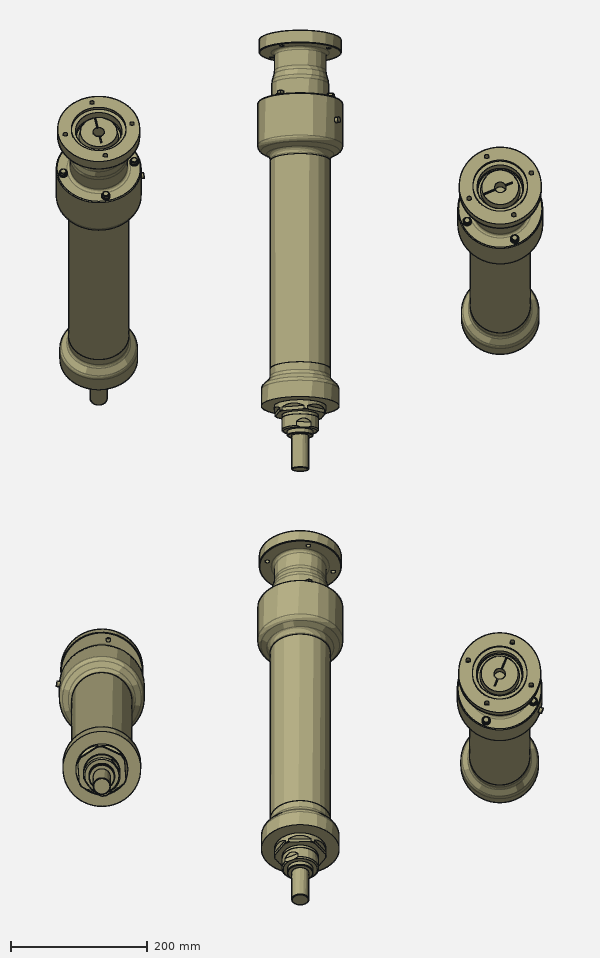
import cadquery as cq
import math

TOTAL_HEIGHT = 649.37
ROD_SHOULDER_Z = 50.8
HUB_BOTTOM_Z = 57.9
HUB_STEP_Z = 77.4
WRENCH_DISC_BOTTOM_Z = 82.1
BASE_BOTTOM_Z = 95.8
BASE_CYLINDER_TOP_Z = 120.4
TUBE_BOTTOM_Z = 151.7
TUBE_TOP_Z = 466.6
COLLAR_LIP = 2.0
COLLAR_TOP_Z = 554.5
LOWER_NECK_TOP_Z = 582.0
FLANGE_THICKNESS = 19.05
FLANGE_BOTTOM_Z = TOTAL_HEIGHT - FLANGE_THICKNESS

ROD_RADIUS = 25.4 / 2
BOSS_RADIUS = 38.1 / 2
HUB_RADIUS = 53.95 / 2
HUB_STEP = 0.4
WRENCH_DISC_RADIUS = 38.1
BASE_RADIUS = 57.15
TUBE_RADIUS = 44.2
CAP_RADIUS = 44.45
COLLAR_RADIUS = 124.92 / 2
LOWER_NECK_RADIUS = 42.0
UPPER_NECK_RADIUS = 38.1
FLANGE_RADIUS = 120.65 / 2

ROD_CHAMFER = 1.0
BOSS_CHAMFER = 1.0
HUB_CHAMFER = 2.0
DISC_CHAMFER = 1.0
COLLAR_CHAMFER = 1.5
FLANGE_CHAMFER = 1.0
NECK_FILLET = 4.5
BASE_BLEND_RADIUS = 8.4
BASE_BLEND_ANGLE = 45
COLLAR_BLEND_RADIUS = 9.5
COLLAR_BLEND_ANGLE = 60
NECK_BLEND_RADIUS = 22.0
NECK_BLEND_ANGLE = 15

DISC_FLAT_COUNT = 6
DISC_FLAT_START_ANGLE = 30
DISC_FLAT_DISTANCE = 68.5 / 2
DISC_FLAT_TOP_Z = 87.4
DISC_RUNOUT_ANGLE = 45
HUB_FLAT_COUNT = 2
HUB_FLAT_START_ANGLE = 0
HUB_FLAT_DISTANCE = 24.6
HUB_FLAT_TOP_Z = 66.0
HUB_RUNOUT_ANGLE = 65
CUT_OVERSHOOT = 1.0

FLANGE_HOLE_COUNT = 4
FLANGE_HOLE_START_ANGLE = 45
FLANGE_HOLE_DIAMETER = 6.53
FLANGE_HOLE_CIRCLE_RADIUS = 49.8
RECESS_RADIUS = 40.0
RECESS_DEPTH = 4.8
GROOVE_OUTER_RADIUS = 34.0
GROOVE_CHAMFER = 1.5
GROOVE_INNER_RADIUS = 29.0
GROOVE_DEPTH = 20.0
PLUG_RADIUS = 53.95 / 2
PLUG_DEPTH = 7.4
CENTRE_HOLE_DIAMETER = 16.5
CENTRE_HOLE_DEPTH = 20.0
SLOT_WIDTH = 1.9
SLOT_DEPTH = 1.6
SLOT_LONG_REACH = 30.0
SLOT_SHORT_REACH = 19.5
SLOT_ANGLE = 135

BOLT_COUNT = 4
BOLT_START_ANGLE = 45
BOLT_CIRCLE_RADIUS = 53.0
BOLT_WASHER_DIAMETER = 12.7
BOLT_WASHER_THICKNESS = 2.0
BOLT_HEX_ACROSS_FLATS = 9.53
BOLT_HEX_HEIGHT = 5.0
BOLT_HEX_CHAMFER = 1.6
BOLT_SHANK_DIAMETER = 6.35
BOLT_SHANK_DEPTH = 19.05

FITTING_ANGLE = 45
FITTING_Z = 520.0
FITTING_DIAMETER = 8.5
FITTING_HEIGHT = 5.0


def blend_up(profile, start, end_radius, bend_radius, angle):
    """Add two equal arcs joined by a cone, from a cylinder at `start` to one of `end_radius` above it."""
    radius, z = start
    side = math.copysign(1, end_radius - radius)
    full = math.radians(angle)
    half = full / 2
    arc_rise = bend_radius * math.sin(full)
    arc_shift = side * bend_radius * (1 - math.cos(full))
    half_rise = bend_radius * math.sin(half)
    half_shift = side * bend_radius * (1 - math.cos(half))
    cone_rise = (abs(end_radius - radius) - 2 * abs(arc_shift)) / math.tan(full)
    end_z = z + 2 * arc_rise + cone_rise
    return (
        profile.threePointArc((radius + half_shift, z + half_rise), (radius + arc_shift, z + arc_rise))
        .lineTo(end_radius - arc_shift, end_z - arc_rise)
        .threePointArc((end_radius - half_shift, end_z - half_rise), (end_radius, end_z))
    )


def turned_body():
    """Solid of revolution from the rod tip up to the flange face."""
    collar_blend_z = TUBE_TOP_Z + COLLAR_LIP
    cove = NECK_FILLET * (1 - math.sqrt(0.5))
    profile = (
        cq.Workplane("XZ")
        .lineTo(ROD_RADIUS - ROD_CHAMFER, 0)
        .lineTo(ROD_RADIUS, ROD_CHAMFER)
        .lineTo(ROD_RADIUS, ROD_SHOULDER_Z)
        .lineTo(BOSS_RADIUS - BOSS_CHAMFER, ROD_SHOULDER_Z)
        .lineTo(BOSS_RADIUS, ROD_SHOULDER_Z + BOSS_CHAMFER)
        .lineTo(BOSS_RADIUS, HUB_BOTTOM_Z)
        .lineTo(HUB_RADIUS - HUB_CHAMFER, HUB_BOTTOM_Z)
        .lineTo(HUB_RADIUS, HUB_BOTTOM_Z + HUB_CHAMFER)
        .lineTo(HUB_RADIUS, HUB_STEP_Z)
        .lineTo(HUB_RADIUS - HUB_STEP, HUB_STEP_Z)
        .lineTo(HUB_RADIUS - HUB_STEP, WRENCH_DISC_BOTTOM_Z)
        .lineTo(WRENCH_DISC_RADIUS - DISC_CHAMFER, WRENCH_DISC_BOTTOM_Z)
        .lineTo(WRENCH_DISC_RADIUS, WRENCH_DISC_BOTTOM_Z + DISC_CHAMFER)
        .lineTo(WRENCH_DISC_RADIUS, BASE_BOTTOM_Z)
        .lineTo(BASE_RADIUS, BASE_BOTTOM_Z)
        .lineTo(BASE_RADIUS, BASE_CYLINDER_TOP_Z)
    )
    profile = blend_up(
        profile, (BASE_RADIUS, BASE_CYLINDER_TOP_Z), CAP_RADIUS, BASE_BLEND_RADIUS, BASE_BLEND_ANGLE
    )
    profile = (
        profile.lineTo(CAP_RADIUS, TUBE_BOTTOM_Z)
        .lineTo(TUBE_RADIUS, TUBE_BOTTOM_Z)
        .lineTo(TUBE_RADIUS, TUBE_TOP_Z)
        .lineTo(CAP_RADIUS, TUBE_TOP_Z)
        .lineTo(CAP_RADIUS, collar_blend_z)
    )
    profile = blend_up(
        profile, (CAP_RADIUS, collar_blend_z), COLLAR_RADIUS, COLLAR_BLEND_RADIUS, COLLAR_BLEND_ANGLE
    )
    profile = (
        profile.lineTo(COLLAR_RADIUS, COLLAR_TOP_Z - COLLAR_CHAMFER)
        .lineTo(COLLAR_RADIUS - COLLAR_CHAMFER, COLLAR_TOP_Z)
        .lineTo(LOWER_NECK_RADIUS + NECK_FILLET, COLLAR_TOP_Z)
        .threePointArc(
            (LOWER_NECK_RADIUS + cove, COLLAR_TOP_Z + cove),
            (LOWER_NECK_RADIUS, COLLAR_TOP_Z + NECK_FILLET),
        )
        .lineTo(LOWER_NECK_RADIUS, LOWER_NECK_TOP_Z)
    )
    profile = blend_up(
        profile, (LOWER_NECK_RADIUS, LOWER_NECK_TOP_Z), UPPER_NECK_RADIUS, NECK_BLEND_RADIUS, NECK_BLEND_ANGLE
    )
    profile = (
        profile.lineTo(UPPER_NECK_RADIUS, FLANGE_BOTTOM_Z - NECK_FILLET)
        .threePointArc(
            (UPPER_NECK_RADIUS + cove, FLANGE_BOTTOM_Z - cove),
            (UPPER_NECK_RADIUS + NECK_FILLET, FLANGE_BOTTOM_Z),
        )
        .lineTo(FLANGE_RADIUS - FLANGE_CHAMFER, FLANGE_BOTTOM_Z)
        .lineTo(FLANGE_RADIUS, FLANGE_BOTTOM_Z + FLANGE_CHAMFER)
        .lineTo(FLANGE_RADIUS, TOTAL_HEIGHT)
        .lineTo(0, TOTAL_HEIGHT)
        .close()
    )
    return profile.revolve(360, (0, 0, 0), (0, 1, 0))


def flat_cutters(count, first_angle, distance, bottom_z, top_z, disc_radius, runout_angle):
    """Cutters for `count` flats around the axis, each ending upward in a sloped run-out."""
    depth = disc_radius - distance + CUT_OVERSHOOT
    runout_rise = depth * math.tan(math.radians(runout_angle))
    cutter = (
        cq.Workplane("XZ")
        .moveTo(distance, bottom_z)
        .lineTo(distance, top_z)
        .lineTo(distance + depth, top_z + runout_rise)
        .lineTo(distance + depth, bottom_z)
        .close()
        .extrude(disc_radius, both=True)
    )
    cutters = cq.Workplane()
    for index in range(count):
        cutters.add(cutter.rotate((0, 0, 0), (0, 0, 1), first_angle + index * 360 / count))
    return cutters.vals()


def flange_face_cutters():
    """Recess, annular groove, centre hole, locating slot and mounting holes in the flange face."""
    plug_z = TOTAL_HEIGHT - PLUG_DEPTH
    groove_z = TOTAL_HEIGHT - GROOVE_DEPTH
    recess_z = TOTAL_HEIGHT - RECESS_DEPTH
    recess = (
        cq.Workplane("XZ")
        .moveTo(0, TOTAL_HEIGHT)
        .lineTo(RECESS_RADIUS, TOTAL_HEIGHT)
        .lineTo(RECESS_RADIUS, recess_z)
        .lineTo(GROOVE_OUTER_RADIUS, recess_z)
        .lineTo(GROOVE_OUTER_RADIUS, groove_z + GROOVE_CHAMFER)
        .lineTo(GROOVE_OUTER_RADIUS - GROOVE_CHAMFER, groove_z)
        .lineTo(GROOVE_INNER_RADIUS, groove_z)
        .lineTo(PLUG_RADIUS, plug_z)
        .lineTo(0, plug_z)
        .close()
        .revolve(360, (0, 0, 0), (0, 1, 0))
    )
    centre_hole = (
        cq.Workplane(origin=(0, 0, plug_z)).circle(CENTRE_HOLE_DIAMETER / 2).extrude(-CENTRE_HOLE_DEPTH)
    )
    slot = (
        cq.Workplane(origin=(0, 0, plug_z))
        .center((SLOT_LONG_REACH - SLOT_SHORT_REACH) / 2, 0)
        .rect(SLOT_LONG_REACH + SLOT_SHORT_REACH, SLOT_WIDTH)
        .extrude(SLOT_DEPTH, both=True)
        .rotate((0, 0, 0), (0, 0, 1), SLOT_ANGLE)
    )
    mounting_holes = (
        cq.Workplane(origin=(0, 0, FLANGE_BOTTOM_Z))
        .polarArray(FLANGE_HOLE_CIRCLE_RADIUS, FLANGE_HOLE_START_ANGLE, 360, FLANGE_HOLE_COUNT)
        .circle(FLANGE_HOLE_DIAMETER / 2)
        .extrude(FLANGE_THICKNESS)
    )
    return [recess.val(), centre_hole.val(), slot.val(), *mounting_holes.vals()]


def make_bolt(angle):
    """Hex bolt with a washer face, seated on the collar top and reaching down into the collar."""
    hex_corner_radius = BOLT_HEX_ACROSS_FLATS / math.sqrt(3)
    head_height = BOLT_WASHER_THICKNESS + BOLT_HEX_HEIGHT
    rounding = (
        cq.Workplane()
        .circle(hex_corner_radius)
        .extrude(head_height)
        .faces(">Z")
        .chamfer(BOLT_HEX_CHAMFER)
    )
    bolt = (
        cq.Workplane()
        .polygon(6, BOLT_HEX_ACROSS_FLATS, circumscribed=True)
        .extrude(head_height)
        .intersect(rounding)
        .union(cq.Workplane().circle(BOLT_WASHER_DIAMETER / 2).extrude(BOLT_WASHER_THICKNESS))
        .union(cq.Workplane().circle(BOLT_SHANK_DIAMETER / 2).extrude(-BOLT_SHANK_DEPTH))
    )
    return bolt.translate((BOLT_CIRCLE_RADIUS, 0, COLLAR_TOP_Z)).rotate((0, 0, 0), (0, 0, 1), angle)


def collar_fitting():
    """Short round stub pointing away from the axis, rooted in the collar wall."""
    root_depth = FITTING_DIAMETER / 2
    stub = (
        cq.Workplane("YZ", origin=(COLLAR_RADIUS - root_depth, 0, FITTING_Z))
        .circle(FITTING_DIAMETER / 2)
        .extrude(root_depth + FITTING_HEIGHT)
    )
    return stub.rotate((0, 0, 0), (0, 0, 1), FITTING_ANGLE)


def make_housing(bolts):
    """Turned body with its fitting, wrench flats, flange face and the holes that the bolts fill."""
    disc_flats = flat_cutters(
        DISC_FLAT_COUNT, DISC_FLAT_START_ANGLE, DISC_FLAT_DISTANCE, WRENCH_DISC_BOTTOM_Z,
        DISC_FLAT_TOP_Z, WRENCH_DISC_RADIUS, DISC_RUNOUT_ANGLE,
    )
    hub_flats = flat_cutters(
        HUB_FLAT_COUNT, HUB_FLAT_START_ANGLE, HUB_FLAT_DISTANCE, HUB_BOTTOM_Z,
        HUB_FLAT_TOP_Z, HUB_RADIUS, HUB_RUNOUT_ANGLE,
    )
    housing = turned_body().union(collar_fitting())
    for cutter in [*disc_flats, *hub_flats, *flange_face_cutters(), *bolts]:
        housing = housing.cut(cq.Workplane(cutter))
    return housing


bolt_angles = [BOLT_START_ANGLE + index * 360 / BOLT_COUNT for index in range(BOLT_COUNT)]
bolts = [make_bolt(angle).val() for angle in bolt_angles]
housing = make_housing(bolts)

result = cq.Compound.makeCompound([housing.val(), *bolts])